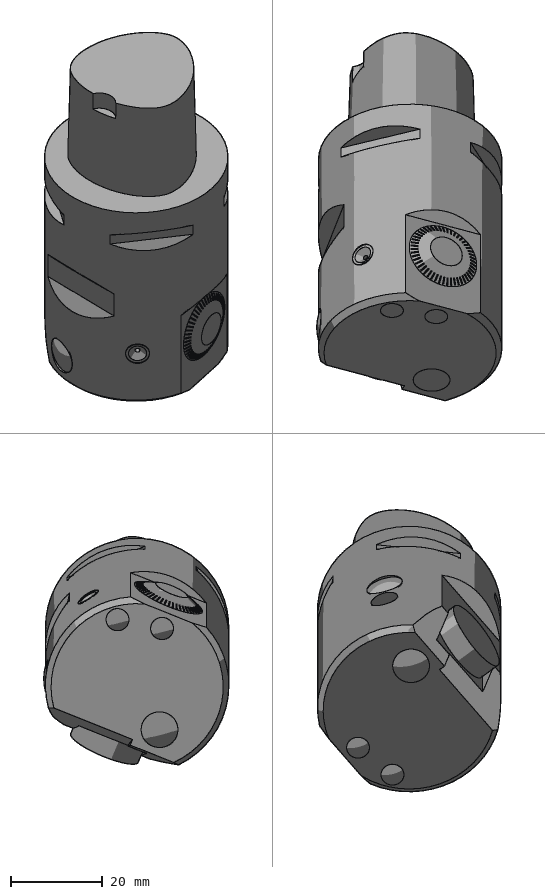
import cadquery as cq
import math


head_radius = 20.0
head_length = 53.0
bottom_chamfer = 1.25

shank_height = 24.0
shank_base_radius = 14.0
shank_top_radius = 13.5
lobe_rise = 0.9
lobe_count = 3
steps_per_curve = 6
shank_notch_radius = 3.6
shank_notch_center_y = -14.3
shank_notch_depth = 4.2

groove_floor_radius = 17.75
groove_floor_width = 2.5
groove_center_z = -8.0
groove_wall_angle = 30
groove_directions = (45, 135, 225, 315)

slot_floor_radius = 17.3
slot_floor_top_z = -22.9
slot_floor_bottom_z = -28.95
slot_wall_angle = 45
slot_direction = 260

left_flat_x = -17.2
left_flat_top_z = -22.8
right_flat_x = 17.9
right_flat_top_z = -30.35
flat_wall_angle = 45

relief_top_z = -39.0
relief_angle = 18
wedge_bottom_x = -11.3
wedge_angle = 30
wedge_edge_y = 3.6

bar_radius = 8.0
bar_axis_z = -39.0
bar_left_x = -18.7
dial_tip_x = 19.8
dial_tip_radius = 7.55 / 2
pocket_floor_x = -14.0
pocket_bottom_z = -48.7

mark_count = 50
mark_length = 1.55
mark_middle_radius = 7.0
mark_width = 0.2
mark_depth = 0.1

plug_length = 3.9
large_plug_radius = 8.0 / 2
large_dome_height = 0.85
small_plug_radius = 2.5
small_dome_height = 0.5
side_plug_rim_radius = 19.5
side_plugs = ((248.3, -46.3), (112.5, -28.65))
large_bottom_plug_place = (-7.0, 8.2)
small_bottom_plug_places = ((14.25, 0), (12.4, -9.7))

recess_direction = 305
recess_z = bar_axis_z
recess_radius = 5.2 / 2
recess_floor_radius = 19.8
recess_cone_radius = 4.0 / 2
recess_cone_depth = 1.1
recess_tip_radius = 1.0 / 2
recess_hole_depth = 1.55
radial_hole_direction = 112.5
radial_hole_z = -36.35
radial_hole_radius = 6.0 / 2
radial_hole_depth = 7.8

clearance = 3.9
reach = head_radius + clearance


def radial_plane(direction, distance, z):
    """Plane facing outward along a direction in degrees, with its local Y pointing up."""
    angle = math.radians(direction)
    outward = (math.cos(angle), math.sin(angle), 0)
    sideways = (-math.sin(angle), math.cos(angle), 0)
    return cq.Plane(origin=(distance * outward[0], distance * outward[1], z), xDir=sideways, normal=outward)


def lobed_point(mean_radius, angle):
    """Point of the three-lobed curve whose outward normal lies at an angle; one lobe is toward +Y."""
    phase = lobe_count * (angle - math.pi / 2)
    distance = mean_radius + lobe_rise * math.cos(phase)
    slope = -lobe_count * lobe_rise * math.sin(phase)
    x = distance * math.cos(angle) - slope * math.sin(angle)
    y = distance * math.sin(angle) + slope * math.cos(angle)
    return (x, y)


def lobed_outline(workplane, mean_radius):
    """Closed outline made of one smooth curve for each lobe and each flank."""
    span = math.pi / lobe_count
    outline = workplane.moveTo(*lobed_point(mean_radius, 0))
    for piece in range(2 * lobe_count):
        first = piece * span
        angles = [first + span * i / steps_per_curve for i in range(1, steps_per_curve + 1)]
        points = [lobed_point(mean_radius, angle) for angle in angles]
        tangents = [(-math.sin(angle), math.cos(angle)) for angle in (first, first + span)]
        outline = outline.spline(points, tangents=tangents, includeCurrent=True)
    return outline.close()


def make_shank():
    base = lobed_outline(cq.Workplane("XY"), shank_base_radius)
    shank = lobed_outline(base.workplane(offset=shank_height), shank_top_radius).loft(ruled=True)
    notch = (
        cq.Workplane("XY", origin=(0, shank_notch_center_y, shank_height - shank_notch_depth))
        .circle(shank_notch_radius)
        .extrude(shank_notch_depth)
    )
    return shank.cut(notch)


def flared_cut(direction, floor_distance, floor_top_z, floor_bottom_z, wall_angle):
    """Straight slot across the head whose end walls flare outward from a flat floor."""
    depth = reach - floor_distance
    rise = depth * math.tan(math.radians(wall_angle))
    center_z = (floor_top_z + floor_bottom_z) / 2
    half_floor = (floor_top_z - floor_bottom_z) / 2
    plane = radial_plane(direction, floor_distance, center_z)
    profile_plane = cq.Plane(origin=plane.origin, xDir=plane.zDir, normal=-plane.xDir)
    half_mouth = half_floor + rise
    profile = [(0, -half_floor), (depth, -half_mouth), (depth, half_mouth), (0, half_floor)]
    return cq.Workplane(profile_plane).polyline(profile).close().extrude(reach, both=True)


def make_side_cuts():
    """Both side flats, the slanted relief below the left one, and the wedge cut."""
    below = -head_length - clearance
    right_flat = flared_cut(0, right_flat_x, right_flat_top_z, below, flat_wall_angle)
    left_flat = flared_cut(180, -left_flat_x, left_flat_top_z, below, flat_wall_angle)

    relief_bottom_x = left_flat_x + (relief_top_z - below) * math.tan(math.radians(relief_angle))
    relief = (
        cq.Workplane("XZ")
        .polyline([(left_flat_x, relief_top_z), (relief_bottom_x, below), (left_flat_x, below)])
        .close()
        .extrude(reach, both=True)
    )

    wedge_slope = math.tan(math.radians(wedge_angle))
    wedge_low_x = wedge_bottom_x + clearance * wedge_slope
    wedge_top_z = -head_length + (wedge_bottom_x + reach) / wedge_slope
    wedge = (
        cq.Workplane("XZ", origin=(0, wedge_edge_y, 0))
        .polyline([(-reach, wedge_top_z), (wedge_low_x, below), (-reach, below)])
        .close()
        .extrude(reach + wedge_edge_y)
    )
    return [right_flat, left_flat, relief, wedge]


def make_bar_cuts():
    """Through bore for the bar and the rectangular pocket below its left end."""
    bore = cq.Workplane("YZ", origin=(-reach, 0, bar_axis_z)).circle(bar_radius).extrude(2 * reach)
    pocket = (
        cq.Workplane("XY", origin=(-reach, 0, pocket_bottom_z))
        .box(
            pocket_floor_x + reach,
            2 * bar_radius,
            bar_axis_z - pocket_bottom_z,
            centered=(False, True, False),
        )
    )
    return [bore, pocket]


def axial_plane(plane):
    """Plane holding the axis of an outward-facing plane, with its local Y along that axis."""
    return cq.Plane(origin=plane.origin, xDir=plane.xDir, normal=plane.xDir.cross(plane.zDir))


def make_recess():
    """Round recess with a conical dimple and a small hole in its floor."""
    hole_bottom = -recess_cone_depth - recess_hole_depth
    outline = [
        (0, clearance),
        (recess_radius, clearance),
        (recess_radius, 0),
        (recess_cone_radius, 0),
        (recess_tip_radius, -recess_cone_depth),
        (recess_tip_radius, hole_bottom),
        (0, hole_bottom),
    ]
    plane = axial_plane(radial_plane(recess_direction, recess_floor_radius, recess_z))
    return cq.Workplane(plane).polyline(outline).close().revolve(360, (0, 0), (0, 1))


def make_radial_hole():
    floor_radius = head_radius - radial_hole_depth
    plane = radial_plane(radial_hole_direction, floor_radius, radial_hole_z)
    return cq.Workplane(plane).circle(radial_hole_radius).extrude(radial_hole_depth + clearance)


def make_plug(rim_plane, radius, dome_height):
    """Round plug below its rim plane, closed by a spherical dome above it."""
    sphere_radius = (radius**2 + dome_height**2) / (2 * dome_height)
    sphere_center = dome_height - sphere_radius
    half_angle = math.asin(radius / sphere_radius) / 2
    arc_middle = (sphere_radius * math.sin(half_angle), sphere_center + sphere_radius * math.cos(half_angle))
    return (
        cq.Workplane(axial_plane(rim_plane))
        .moveTo(0, -plug_length)
        .lineTo(radius, -plug_length)
        .lineTo(radius, 0)
        .threePointArc(arc_middle, (0, dome_height))
        .close()
        .revolve(360, (0, 0), (0, 1))
    )


def make_plug_bore(rim_plane, radius):
    floor = cq.Workplane(rim_plane).workplane(offset=-plug_length)
    return floor.circle(radius).extrude(plug_length + clearance)


def bottom_plane(place):
    return cq.Plane(origin=(*place, -head_length), xDir=(1, 0, 0), normal=(0, 0, -1))


def dial_mark():
    """Cutter for one mark, sunk square to the cone of the dial in the half plane above the bar axis."""
    cone_run = dial_tip_x - right_flat_x
    cone_drop = bar_radius - dial_tip_radius
    slope = math.degrees(math.atan2(cone_drop, cone_run))
    mark_run = (bar_radius - mark_middle_radius) * cone_run / cone_drop
    return (
        cq.Workplane("XY")
        .box(mark_length, mark_width, 2 * mark_depth)
        .rotate((0, 0, 0), (0, 1, 0), slope)
        .translate((right_flat_x + mark_run, 0, bar_axis_z + mark_middle_radius))
    )


def make_bar():
    """Boring bar along X: a cylinder with a flat left end and a marked conical dial at the right."""
    outline = [
        (bar_left_x, 0),
        (bar_left_x, bar_radius),
        (right_flat_x, bar_radius),
        (dial_tip_x, dial_tip_radius),
        (dial_tip_x, 0),
    ]
    profile = cq.Workplane("XZ", origin=(0, 0, bar_axis_z)).polyline(outline).close()
    bar = profile.revolve(360, (0, 0), (1, 0))
    mark = dial_mark()
    axis_start = (0, 0, bar_axis_z)
    axis_end = (1, 0, bar_axis_z)
    for i in range(mark_count):
        bar = bar.cut(mark.rotate(axis_start, axis_end, 360 * i / mark_count))
    return bar


def make_housing(plug_seats):
    head = cq.Workplane("XY").circle(head_radius).extrude(-head_length)
    head = head.faces("<Z").edges().chamfer(bottom_chamfer)
    housing = head.union(make_shank())

    half_groove = groove_floor_width / 2
    groove_top_z = groove_center_z + half_groove
    groove_bottom_z = groove_center_z - half_groove
    cutters = [
        flared_cut(direction, groove_floor_radius, groove_top_z, groove_bottom_z, groove_wall_angle)
        for direction in groove_directions
    ]
    cutters.append(
        flared_cut(slot_direction, slot_floor_radius, slot_floor_top_z, slot_floor_bottom_z, slot_wall_angle)
    )
    cutters += make_side_cuts()
    cutters += make_bar_cuts()
    cutters += [make_recess(), make_radial_hole()]
    cutters += [make_plug_bore(plane, radius) for plane, radius, _ in plug_seats]
    for cutter in cutters:
        housing = housing.cut(cutter)
    return housing


plug_seats = [
    (radial_plane(direction, side_plug_rim_radius, z), large_plug_radius, large_dome_height)
    for direction, z in side_plugs
]
plug_seats.append((bottom_plane(large_bottom_plug_place), large_plug_radius, large_dome_height))
for place in small_bottom_plug_places:
    plug_seats.append((bottom_plane(place), small_plug_radius, small_dome_height))

housing = make_housing(plug_seats)
boring_bar = make_bar()
plugs = [make_plug(*seat) for seat in plug_seats]

result = cq.Compound.makeCompound([housing.val(), boring_bar.val(), *[plug.val() for plug in plugs]])